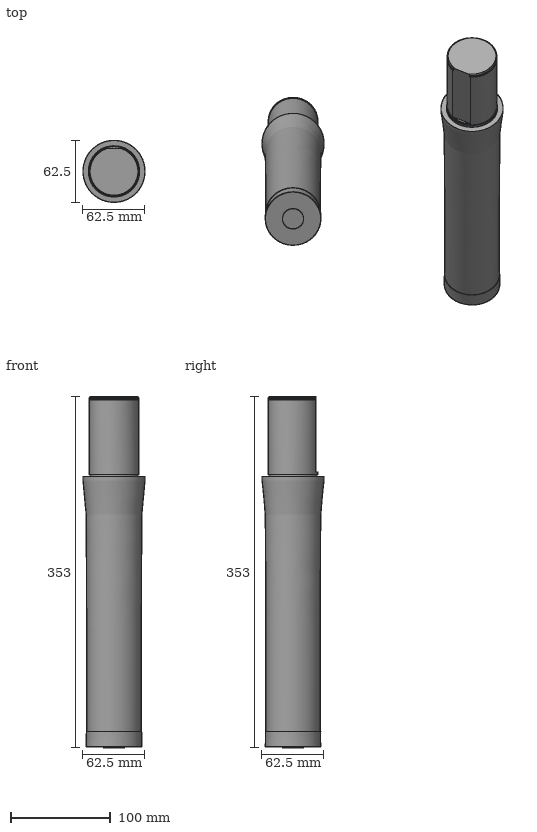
import cadquery as cq

TOTAL_HEIGHT = 353.0

TUBE_DIA = 55.0
GRIP_DIA = 56.0
COLLAR_DIA = 62.5
CAP_TOP_DIA = 55.8
CAP_DIA = 56.0
FOOT_DIA = 21.2

FOOT_HEIGHT = 1.0
CAP_CHAMFER = 0.5
CAP_TOP_Z = 16.5
TAPER_START_Z = 121.8
GRIP_START_Z = 229.0
GRIP_END_Z = 234.5
COLLAR_START_Z = 268.5
HOUSING_TOP_Z = 273.0
MOUTH_CHAMFER = 1.5

PLUNGER_DIA = 50.0
NECK_DIA = 48.7
PLUNGER_SHOULDER_Z = 275.0
PLUNGER_CHAMFER = 1.0
GROOVE_DIA = 49.5
GROOVE_BOTTOM_Z = 349.5
GROOVE_TOP_Z = 351.0
SOCKET_DEPTH = 4.2
FLAT_Y = 23.0
FLAT_BOTTOM_Z = 277.5

SOCKET_FLOOR_Z = HOUSING_TOP_Z - SOCKET_DEPTH


def revolve_profile(points):
    """Solid of revolution about Z from (radius, height) points."""
    return cq.Workplane("XZ").polyline(points).close().revolve(360, (0, 0), (0, 1))


def make_housing():
    """Stepped tube with a foot, a flared collar and a socket for the plunger neck."""
    cap_radius = CAP_DIA / 2
    tube_radius = TUBE_DIA / 2
    grip_radius = GRIP_DIA / 2
    collar_radius = COLLAR_DIA / 2
    neck_radius = NECK_DIA / 2
    return revolve_profile([
        (0, 0),
        (FOOT_DIA / 2, 0),
        (FOOT_DIA / 2, FOOT_HEIGHT),
        (cap_radius - CAP_CHAMFER, FOOT_HEIGHT),
        (cap_radius, FOOT_HEIGHT + CAP_CHAMFER),
        (CAP_TOP_DIA / 2, CAP_TOP_Z),
        (tube_radius, CAP_TOP_Z),
        (tube_radius, TAPER_START_Z),
        (grip_radius, GRIP_START_Z),
        (grip_radius, GRIP_END_Z),
        (collar_radius, COLLAR_START_Z),
        (collar_radius, HOUSING_TOP_Z),
        (neck_radius + MOUTH_CHAMFER, HOUSING_TOP_Z),
        (neck_radius, HOUSING_TOP_Z - MOUTH_CHAMFER),
        (neck_radius, SOCKET_FLOOR_Z),
        (0, SOCKET_FLOOR_Z),
    ])


def make_plunger():
    """Round plunger with a narrower neck, a chamfered top edge, a fine groove and a flat on its +Y side."""
    radius = PLUNGER_DIA / 2
    neck_radius = NECK_DIA / 2
    groove_radius = GROOVE_DIA / 2
    body = revolve_profile([
        (0, SOCKET_FLOOR_Z),
        (neck_radius, SOCKET_FLOOR_Z),
        (neck_radius, PLUNGER_SHOULDER_Z),
        (radius, PLUNGER_SHOULDER_Z),
        (radius, GROOVE_BOTTOM_Z),
        (groove_radius, GROOVE_BOTTOM_Z),
        (groove_radius, GROOVE_TOP_Z),
        (radius, GROOVE_TOP_Z),
        (radius, TOTAL_HEIGHT - PLUNGER_CHAMFER),
        (radius - PLUNGER_CHAMFER, TOTAL_HEIGHT),
        (0, TOTAL_HEIGHT),
    ])
    flat_cutter = cq.Workplane("XY").box(
        PLUNGER_DIA, PLUNGER_DIA, TOTAL_HEIGHT - FLAT_BOTTOM_Z, centered=(True, False, False)
    ).translate((0, FLAT_Y, FLAT_BOTTOM_Z))
    return body.cut(flat_cutter)


housing = make_housing()
plunger = make_plunger()
result = cq.Compound.makeCompound([housing.val(), plunger.val()])